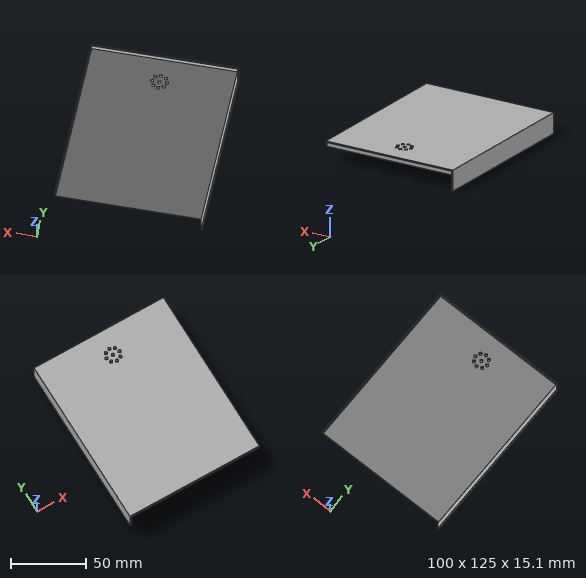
import cadquery as cq

width = 100.0
length = 125.0
height = 15.1

sheet_thickness = 1.0

backing_thickness = 3.0
backing_setback = 0.5

hole_diameter = 2.0
ring_diameter = 10.0
ring_hole_count = 8
drain_from_back_edge = 18.8
drain_y = length / 2 - drain_from_back_edge

left = -width / 2
right = width / 2
sheet_underside = height - sheet_thickness
flange_inside = left + sheet_thickness

sheet_profile = [
    (left, 0),
    (flange_inside, 0),
    (flange_inside, sheet_underside),
    (right, sheet_underside),
    (right, height),
    (left, height),
]
sheet = cq.Workplane("XZ").polyline(sheet_profile).close().extrude(length / 2, both=True)

backing_width = right - backing_setback - flange_inside
backing_length = length - 2 * backing_setback
backing = (
    cq.Workplane("XY", origin=(flange_inside, 0, sheet_underside - backing_thickness))
    .box(backing_width, backing_length, backing_thickness, centered=(False, True, False))
)

drain_plane = cq.Workplane("XY").center(0, drain_y)
center_hole = drain_plane.circle(hole_diameter / 2).extrude(height)
ring_holes = (
    drain_plane.polarArray(ring_diameter / 2, 0, 360, ring_hole_count)
    .circle(hole_diameter / 2)
    .extrude(height)
)

result = sheet.union(backing).cut(center_hole).cut(ring_holes)